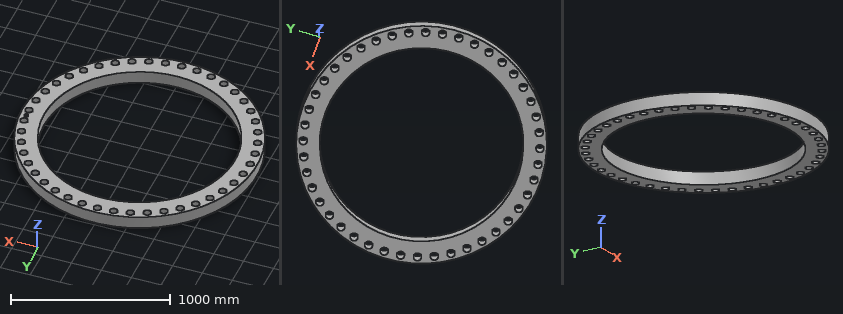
import cadquery as cq

outer_diameter = 1568.0
bore_diameter = 1273.0
thickness = 90.0
bolt_circle_diameter = 1480.0
bolt_hole_diameter = 49.0
bolt_hole_count = 44

recess_diameter = 25.0
recess_depth = 5.0
recess_core_diameter = recess_diameter / 2
recess_core_depth = 2 * recess_depth
recess_angle = 360 / bolt_hole_count / 2


def make_ring():
    """Flat ring standing on the XY plane."""
    return (
        cq.Workplane("XY")
        .circle(outer_diameter / 2)
        .circle(bore_diameter / 2)
        .extrude(thickness)
    )


def drill_bolt_holes(ring):
    """Through holes evenly spaced on the bolt circle, the first one on +X."""
    return (
        ring.faces(">Z")
        .workplane(origin=(0, 0, thickness))
        .polarArray(bolt_circle_diameter / 2, 0, 360, bolt_hole_count)
        .hole(bolt_hole_diameter)
    )


def cut_stepped_recess(ring):
    """Shallow two-step blind recess in the top face, centred on the bolt circle."""
    return (
        ring.faces(">Z")
        .workplane(origin=(0, 0, thickness))
        .polarArray(bolt_circle_diameter / 2, recess_angle, 360, 1)
        .cboreHole(recess_core_diameter, recess_diameter, recess_depth, recess_core_depth)
    )


result = cut_stepped_recess(drill_bolt_holes(make_ring()))